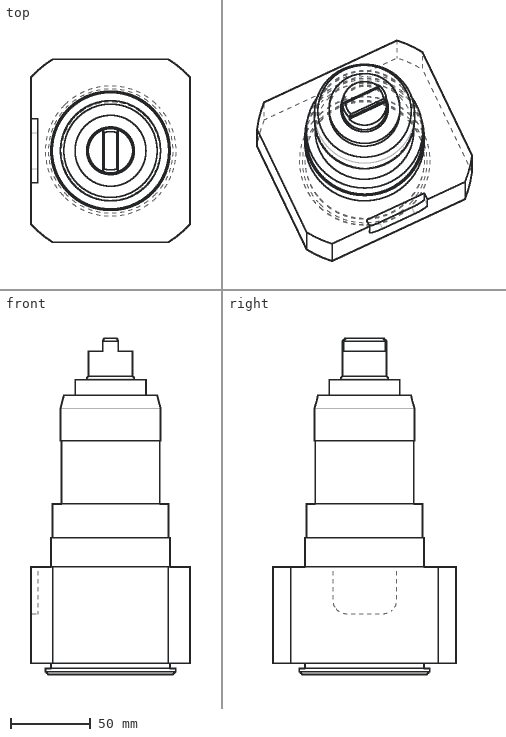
import cadquery as cq
import math

TOTAL_HEIGHT = 211.5

BLOCK_X = 100.0
BLOCK_Y = 115.0
BLOCK_CORNER_DIAMETER = 136.2
BLOCK_BOTTOM = 7.0
BLOCK_TOP = 67.7

FLANGE_DIAMETER = 82.0
FLANGE_TOP = 3.8
FLANGE_CHAMFER = 2.0

NECK_DIAMETER = 75.0
NECK_TOP = 86.0
SEAT_DIAMETER = 73.2
SEAT_TOP = 107.2
BODY_DIAMETER = 62.0
BODY_TOP = 146.8
HEAD_DIAMETER = 63.0
HEAD_TAPER_START = 167.5
HEAD_TOP = 175.5
HEAD_TAPER_ANGLE = 15.0
SHOULDER_DIAMETER = 44.6
SHOULDER_TOP = 185.3

SHAFT_DIAMETER = 28.0
RING_DIAMETER = 30.0
RING_SECTION_DIAMETER = 3.0
RING_CENTRE_HEIGHT = 186.0
TANG_THICKNESS = 10.0
TANG_HEIGHT = 8.2
TANG_END_CHAMFER = 2.0
TANG_SIDE_CHAMFER = 1.0

POCKET_WIDTH = 40.2
POCKET_HEIGHT = 29.5
POCKET_DEPTH = 4.5
POCKET_CORNER_RADIUS = 8.9


def cylinder(diameter, bottom, top):
    """Upright cylinder on the Z axis between two heights."""
    return cq.Workplane("XY").workplane(offset=bottom).circle(diameter / 2).extrude(top - bottom)


def make_block():
    height = BLOCK_TOP - BLOCK_BOTTOM
    block = cq.Workplane("XY").workplane(offset=BLOCK_BOTTOM).rect(BLOCK_X, BLOCK_Y).extrude(height)
    block = block.intersect(cylinder(BLOCK_CORNER_DIAMETER, BLOCK_BOTTOM, BLOCK_TOP))
    pocket = (
        cq.Workplane("YZ")
        .workplane(offset=-BLOCK_X / 2)
        .center(0, BLOCK_TOP - POCKET_HEIGHT / 2)
        .rect(POCKET_WIDTH, POCKET_HEIGHT)
        .extrude(POCKET_DEPTH)
        .edges("|X and <Z")
        .fillet(POCKET_CORNER_RADIUS)
    )
    return block.cut(pocket)


def make_flange():
    return cylinder(FLANGE_DIAMETER, 0, FLANGE_TOP).faces("<Z").chamfer(FLANGE_CHAMFER)


def make_shank():
    taper_height = HEAD_TOP - HEAD_TAPER_START
    taper_inset = taper_height * math.tan(math.radians(HEAD_TAPER_ANGLE))
    head = cylinder(HEAD_DIAMETER, BODY_TOP, HEAD_TOP).faces(">Z").chamfer(taper_height, taper_inset)
    return (
        cylinder(NECK_DIAMETER, 0, NECK_TOP)
        .union(cylinder(SEAT_DIAMETER, NECK_TOP, SEAT_TOP))
        .union(cylinder(BODY_DIAMETER, SEAT_TOP, BODY_TOP))
        .union(head)
        .union(cylinder(SHOULDER_DIAMETER, HEAD_TOP, SHOULDER_TOP))
    )


def make_ring():
    centre_radius = (RING_DIAMETER - RING_SECTION_DIAMETER) / 2
    ring = cq.Solid.makeTorus(centre_radius, RING_SECTION_DIAMETER / 2)
    return cq.Workplane(ring.translate(cq.Vector(0, 0, RING_CENTRE_HEIGHT)))


def make_drive_shaft():
    shaft = cylinder(SHAFT_DIAMETER, SHOULDER_TOP, TOTAL_HEIGHT)
    shaft = shaft.faces(">Z").chamfer(TANG_END_CHAMFER)
    tang_bottom = TOTAL_HEIGHT - TANG_HEIGHT
    tang_limits = (
        cq.Workplane("XY")
        .workplane(offset=tang_bottom)
        .rect(TANG_THICKNESS, SHAFT_DIAMETER)
        .extrude(TANG_HEIGHT)
        .edges("|Y and >Z")
        .chamfer(TANG_END_CHAMFER, TANG_SIDE_CHAMFER)
    )
    tang_zone = cylinder(SHAFT_DIAMETER, tang_bottom, TOTAL_HEIGHT)
    return shaft.cut(tang_zone.cut(tang_limits))


result = (
    make_block()
    .union(make_flange())
    .union(make_shank())
    .union(make_ring())
    .union(make_drive_shaft())
)